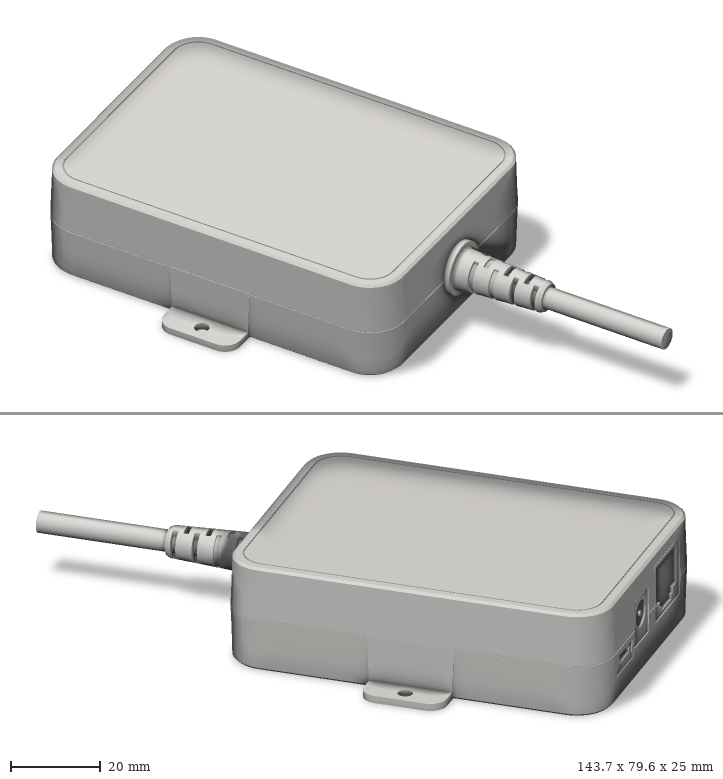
import cadquery as cq

total_length = 143.7
housing_length = 90.0
housing_width = 65.1
housing_height = 25.0
corner_radius = 8.9
draft_angle = 2.0
edge_chamfer = 0.6
seam_z = housing_height / 2
seam_groove_width = 0.3
seam_groove_depth = 0.1
housing_mid_x = housing_length / 2

panel_inset = 2.7
panel_groove_width = 0.36
panel_groove_depth = 0.22

tab_tip_width = 79.6
tab_length = 19.5
tab_thickness = 1.7
tab_corner_radius = 3.9
tab_hole_diameter = 3.5
tab_hole_spacing = 72.1
pad_top_length = 20.4

cable_z = seam_z
cable_diameter = 5.0
collar_diameter = 12.8
collar_length = 1.3
relief_start_radius = 4.7
relief_end_radius = 3.7
relief_length = 21.8
relief_root_flare = 0.36
relief_end_chamfer_length = 0.9
relief_end_chamfer_depth = 0.5
relief_start_x = housing_length + collar_length
relief_end_x = relief_start_x + relief_length
stem_radius = 3.9
stem_slot_count = 2
slot_width = 1.3
slot_pitch = 5.2
side_slot_count = 4
first_side_slot = 4.3
side_slot_web = 3.0
window_count = side_slot_count - 1
window_width = 4.0

face_recess = 0.5
opening_depth = 0.6
jack_gap = 0.5
jack_bottom_z = 7.9

phone_y = -12.4
phone_width = 16.5
phone_top_z = 22.1
phone_socket_depth = 1.1
phone_socket_top_z = 20.8
phone_socket_floor_z = 11.4
phone_socket_half_width = 6.9
phone_key_half_width = 4.3
phone_key_floor_z = 9.9
phone_latch_half_width = 3.5
phone_latch_floor_z = 8.8

power_y = 5.2
power_width = 9.3
power_top_z = 19.3
power_hole_z = 14.4
power_hole_diameter = 6.3
power_hole_depth = 1.0
power_pin_diameter = 1.3

usb_y = 16.0
usb_width = 8.8
usb_top_z = 10.9
usb_socket_depth = 1.1
usb_socket_half_width = 3.7
usb_socket_neck_half_width = 3.3
usb_socket_shoulder_z = 9.5
usb_neck_top_z = 9.0
usb_socket_floor_z = 8.3
usb_socket_shift = 0.22
usb_shelf_width = 10.9
usb_shelf_bottom_z = 6.2


def rounded_plan(z, inset=0.0):
    """Housing outline at height z, moved inward by inset."""
    outline = cq.Sketch().rect(housing_length - 2 * inset, housing_width - 2 * inset)
    outline = outline.vertices().fillet(corner_radius - inset)
    return cq.Workplane("XY", origin=(housing_mid_x, 0, z)).placeSketch(outline)


def ring(z, height, outer_inset, inner_inset):
    """Frame of constant width that follows the housing outline."""
    outer = rounded_plan(z, outer_inset).extrude(height)
    return outer.cut(rounded_plan(z, inner_inset).extrude(height))


def block(x_range, y_range, z_range):
    """Box given by its limits along the three axes."""
    ranges = (x_range, y_range, z_range)
    sizes = [high - low for low, high in ranges]
    start = [low for low, high in ranges]
    return cq.Workplane("XY").box(*sizes, centered=False).translate(tuple(start))


def make_housing():
    upper = rounded_plan(seam_z).extrude(housing_height - seam_z, taper=draft_angle)
    lower = rounded_plan(seam_z).extrude(-seam_z, taper=draft_angle)
    upper = upper.faces(">Z").edges().chamfer(edge_chamfer)
    lower = lower.faces("<Z").edges().chamfer(edge_chamfer)
    seam = ring(seam_z - seam_groove_width / 2, seam_groove_width, 0, seam_groove_depth)
    frame = ring(
        housing_height - panel_groove_depth,
        panel_groove_depth,
        panel_inset,
        panel_inset + panel_groove_width,
    )
    return upper.union(lower).cut(seam).cut(frame)


def make_tabs():
    """Flat bar under the housing whose two ends form the tabs, plus the tapered wall pads."""
    bar = (
        cq.Workplane("XY", origin=(housing_mid_x, 0, 0))
        .rect(tab_length, tab_tip_width)
        .extrude(tab_thickness)
        .edges("|Z")
        .fillet(tab_corner_radius)
    )
    pads = (
        cq.Workplane("XZ", origin=(housing_mid_x, 0, 0))
        .polyline([
            (-tab_length / 2, 0),
            (tab_length / 2, 0),
            (pad_top_length / 2, seam_z),
            (-pad_top_length / 2, seam_z),
        ])
        .close()
        .extrude(housing_width / 2, both=True)
    )
    return bar.union(pads)


def make_tab_holes():
    return (
        cq.Workplane("XY", origin=(housing_mid_x, 0, 0))
        .rarray(1.5, tab_hole_spacing, 1, 2)
        .circle(tab_hole_diameter / 2)
        .extrude(tab_thickness)
    )


def relief_sleeve():
    """Tapered sleeve with a small flare at the collar and a bevelled free end."""
    return (
        cq.Workplane("XY")
        .polyline([
            (relief_start_x, 0),
            (relief_start_x, relief_start_radius + relief_root_flare),
            (relief_start_x + relief_root_flare, relief_start_radius),
            (relief_end_x - relief_end_chamfer_length, relief_end_radius),
            (relief_end_x, relief_end_radius - relief_end_chamfer_depth),
            (relief_end_x, 0),
        ])
        .close()
        .revolve(360, (0, 0, 0), (1, 0, 0))
        .translate((0, 0, cable_z))
    )


def rod(diameter, start_x, end_x):
    """Round bar on the cable axis."""
    return (
        cq.Workplane("YZ", origin=(start_x, 0, cable_z))
        .circle(diameter / 2)
        .extrude(end_x - start_x)
    )


def slot_range(position):
    """X limits of a slot, counted in pitches from the first side slot."""
    center = relief_start_x + first_side_slot + position * slot_pitch
    return (center - slot_width / 2, center + slot_width / 2)


def make_relief():
    """Sleeve with side slots and, halfway between them, windows above and below."""
    reach = relief_start_radius
    vertical = (cable_z - reach, cable_z + reach)
    sleeve = relief_sleeve()
    for index in range(side_slot_count):
        along = slot_range(index)
        sleeve = sleeve.cut(block(along, (side_slot_web / 2, reach), vertical))
        sleeve = sleeve.cut(block(along, (-reach, -side_slot_web / 2), vertical))
    for index in range(window_count):
        along = slot_range(index + 0.5)
        sleeve = sleeve.cut(block(along, (-window_width / 2, window_width / 2), vertical))
    stem_end_x = slot_range(stem_slot_count - 0.5)[0]
    return sleeve.union(rod(2 * stem_radius, relief_start_x, stem_end_x))


def make_cable():
    collar = rod(collar_diameter, housing_mid_x, relief_start_x)
    cable = rod(cable_diameter, housing_mid_x, total_length)
    return collar.union(cable).union(make_relief())


def make_opening(center_y, width, bottom_z, top_z):
    """Opening whose jack face leaves a gap along the top and the +Y side."""
    low_y = center_y - width / 2
    high_y = center_y + width / 2
    opening = block((0, opening_depth), (low_y, high_y), (bottom_z, top_z))
    jack = block((face_recess, opening_depth), (low_y, high_y - jack_gap), (bottom_z, top_z - jack_gap))
    return opening.cut(jack)


def socket(points, depth):
    """Recess with a (Y, Z) outline, running inward from the -X side."""
    return cq.Workplane("YZ").polyline(points).close().extrude(depth)


def make_phone_port():
    right_half = [
        (phone_socket_half_width, phone_socket_top_z),
        (phone_socket_half_width, phone_socket_floor_z),
        (phone_key_half_width, phone_socket_floor_z),
        (phone_key_half_width, phone_key_floor_z),
        (phone_latch_half_width, phone_key_floor_z),
        (phone_latch_half_width, phone_latch_floor_z),
    ]
    left_half = [(-y, z) for y, z in reversed(right_half)]
    cavity = socket(right_half + left_half, phone_socket_depth).translate((0, phone_y, 0))
    return make_opening(phone_y, phone_width, jack_bottom_z, phone_top_z).union(cavity)


def make_power_port():
    cavity = (
        cq.Workplane("YZ", origin=(0, power_y - jack_gap / 2, power_hole_z))
        .circle(power_hole_diameter / 2)
        .extrude(power_hole_depth)
    )
    pin = (
        cq.Workplane("YZ", origin=(face_recess, power_y - jack_gap / 2, power_hole_z))
        .circle(power_pin_diameter / 2)
        .extrude(power_hole_depth)
    )
    return make_opening(power_y, power_width, jack_bottom_z, power_top_z).union(cavity).cut(pin)


def make_usb_port():
    right_half = [
        (usb_socket_half_width, usb_top_z - jack_gap),
        (usb_socket_half_width, usb_socket_shoulder_z),
        (usb_socket_neck_half_width, usb_neck_top_z),
        (usb_socket_neck_half_width, usb_socket_floor_z),
    ]
    left_half = [(-y, z) for y, z in reversed(right_half)]
    cavity = socket(right_half + left_half, usb_socket_depth).translate((0, usb_socket_shift, 0))
    frame = block((0, face_recess), (-usb_width / 2, usb_width / 2), (jack_bottom_z, usb_top_z))
    shelf = block(
        (0, face_recess),
        (-usb_shelf_width / 2, usb_shelf_width / 2),
        (usb_shelf_bottom_z, jack_bottom_z),
    )
    return frame.union(shelf).union(cavity).translate((0, usb_y, 0))


result = make_housing().union(make_tabs()).union(make_cable()).cut(make_tab_holes())
for port in (make_phone_port(), make_power_port(), make_usb_port()):
    result = result.cut(port)